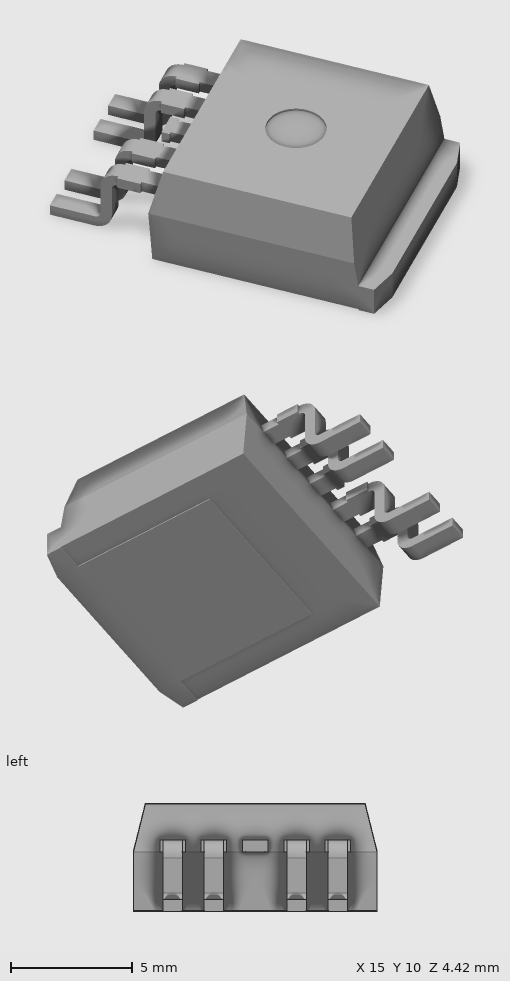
import cadquery as cq

width = 10.0
height = 4.42
housing_bottom = 0.05
wall_taper_left = 0.46
wall_taper_side = 0.5
parting_left = 4.77
bottom_left = 4.95
top_left = parting_left + wall_taper_left
top_right = 13.48
bottom_right = 13.98

mark_diameter = 2.5
mark_depth = 0.1
mark_x = (top_left + top_right) / 2

tab_thickness = 1.29
tab_end = 15.0
tab_chamfer_start = 14.67
tab_end_width = 7.5
pad_left = 7.47
pad_width = 7.5

lead_pitch = 1.7
lead_positions = (-2, -1, 1, 2)
lead_width = 0.8
lead_thickness = 0.5
lead_top = 2.94
lead_underside = lead_top - lead_thickness
riser_left = 2.22
riser_right = riser_left + lead_thickness
bend_inner_radius = 0.25
bend_outer_radius = bend_inner_radius + lead_thickness
shoulder_left = 3.0
shoulder_right = 4.02
shoulder_width = 1.05
stub_left = 3.66
lead_insertion = 0.75
lead_end = parting_left + lead_insertion

parting_height = lead_underside


def centred_box(x_start, x_end, y_size, z_start, z_end):
    """Box between two X and two Z planes, centred on Y = 0."""
    return cq.Workplane("XY").box(
        x_end - x_start, y_size, z_end - z_start, centered=(False, True, False)
    ).translate((x_start, 0, z_start))


def make_lead():
    """Gull-wing lead on Y = 0: foot, riser and shank, with a wider shoulder."""
    strip = (
        cq.Workplane("XZ")
        .moveTo(0, 0)
        .lineTo(riser_right - bend_outer_radius, 0)
        .radiusArc((riser_right, bend_outer_radius), -bend_outer_radius)
        .lineTo(riser_right, lead_underside - bend_inner_radius)
        .radiusArc((riser_right + bend_inner_radius, lead_underside), bend_inner_radius)
        .lineTo(lead_end, lead_underside)
        .lineTo(lead_end, lead_top)
        .lineTo(riser_left + bend_outer_radius, lead_top)
        .radiusArc((riser_left, lead_top - bend_outer_radius), -bend_outer_radius)
        .lineTo(riser_left, lead_thickness + bend_inner_radius)
        .radiusArc((riser_left - bend_inner_radius, lead_thickness), bend_inner_radius)
        .lineTo(0, lead_thickness)
        .close()
        .extrude(lead_width / 2, both=True)
    )
    shoulder = centred_box(shoulder_left, shoulder_right, shoulder_width, lead_underside, lead_top)
    return strip.union(shoulder)


def make_stub():
    """Cropped centre lead: the shank with what is left of its shoulder."""
    shank = centred_box(stub_left, lead_end, lead_width, lead_underside, lead_top)
    shoulder = centred_box(stub_left, shoulder_right, shoulder_width, lead_underside, lead_top)
    return shank.union(shoulder)


def make_tab():
    """Flat plate: a full-width end outside the housing and a narrower pad set into its underside."""
    end_plate = (
        cq.Workplane("XY")
        .polyline([
            (bottom_right, -width / 2),
            (tab_chamfer_start, -width / 2),
            (tab_end, -tab_end_width / 2),
            (tab_end, tab_end_width / 2),
            (tab_chamfer_start, width / 2),
            (bottom_right, width / 2),
        ])
        .close()
        .extrude(tab_thickness)
    )
    pad = centred_box(pad_left, bottom_right, pad_width, 0, tab_thickness)
    return end_plate.union(pad)


def make_housing_blank():
    """Housing without recesses: the lengthwise outline trimmed to the crosswise outline."""
    lengthwise = (
        cq.Workplane("XZ")
        .polyline([
            (bottom_left, housing_bottom),
            (bottom_right, housing_bottom),
            (bottom_right, tab_thickness),
            (top_right, height),
            (top_left, height),
            (parting_left, parting_height),
        ])
        .close()
        .extrude(width / 2, both=True)
    )
    top_half_width = width / 2 - wall_taper_side
    crosswise = (
        cq.Workplane("YZ")
        .polyline([
            (-width / 2, housing_bottom),
            (width / 2, housing_bottom),
            (width / 2, parting_height),
            (top_half_width, height),
            (-top_half_width, height),
            (-width / 2, parting_height),
        ])
        .close()
        .extrude(tab_end)
    )
    return lengthwise.intersect(crosswise)


def make_mark():
    """Shallow round recess in the top face."""
    return (
        cq.Workplane("XY", origin=(mark_x, 0, height - mark_depth))
        .circle(mark_diameter / 2)
        .extrude(mark_depth)
    )


leads = [make_lead().translate((0, position * lead_pitch, 0)) for position in lead_positions]
stub = make_stub()
tab = make_tab()

housing = make_housing_blank().cut(make_mark())
for metal_part in [*leads, stub, tab]:
    housing = housing.cut(metal_part)

result = cq.Compound.makeCompound(
    [housing.val(), tab.val(), stub.val(), *[lead.val() for lead in leads]]
)